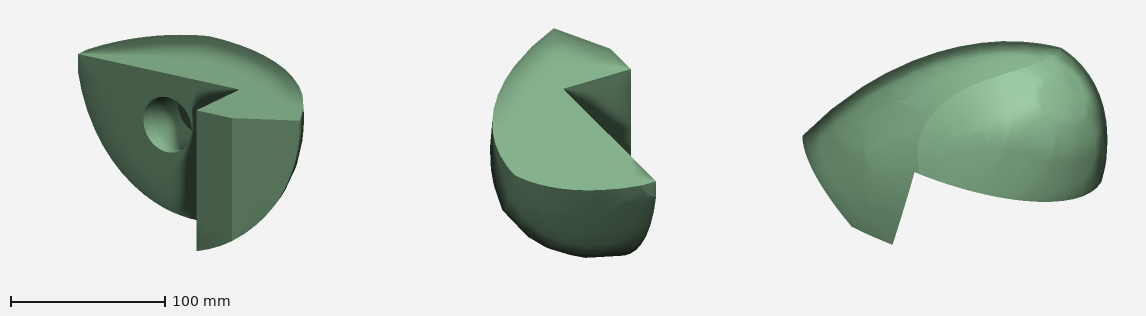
import cadquery as cq
import math

length = 193.55
depth_y = 127.5
stock_depth = 150.0

seat_y = 50.0
leg_x = 126.4
leg_corner_x = 154.1
slant_angle = 27.5

hole_diameter = 37.7
hole_x = 70.0
hole_z = -35.0
hole_depth = 40.0

left_semi_axes = (328.7, 139.0, 160.8)
left_centre = (194.2, -138.2, 102.6)
left_roll = 2.0
left_tilt = 26.2
left_azimuth = -58.7

right_semi_axes = (226.7, 160.6, 121.5)
right_centre = (66.8, -76.5, 61.9)
right_roll = 150.7
right_tilt = 31.9
right_azimuth = -88.3


def ellipsoid(semi_axes, centre, roll, tilt, azimuth):
    """Unit sphere stretched to the semi-axes, turned and moved into place."""
    along, across, upright = semi_axes
    stretch = cq.Matrix([
        [along, 0, 0, 0],
        [0, across, 0, 0],
        [0, 0, upright, 0],
    ])
    stretched = cq.Workplane("XY").sphere(1).val().transformGeometry(stretch)
    origin = (0, 0, 0)
    return (
        cq.Workplane(stretched)
        .rotate(origin, (1, 0, 0), roll)
        .rotate(origin, (0, 1, 0), -tilt)
        .rotate(origin, (0, 0, 1), azimuth)
        .translate(centre)
    )


def stepped_stock():
    """Prism below Z = 0 with the front step and the slanted end face."""
    slant_end_y = (length - leg_corner_x) * math.tan(math.radians(slant_angle))
    return (
        cq.Workplane("XY")
        .moveTo(0, seat_y)
        .lineTo(leg_x, seat_y)
        .lineTo(leg_x, 0)
        .lineTo(leg_corner_x, 0)
        .lineTo(length, slant_end_y)
        .lineTo(length, depth_y)
        .lineTo(0, depth_y)
        .close()
        .extrude(-stock_depth)
    )


def bolt_hole():
    """Cylinder running into the block from the seat face."""
    return (
        cq.Workplane("XZ", origin=(hole_x, seat_y, hole_z))
        .circle(hole_diameter / 2)
        .extrude(-hole_depth)
    )


left_round = ellipsoid(left_semi_axes, left_centre, left_roll, left_tilt, left_azimuth)
right_round = ellipsoid(right_semi_axes, right_centre, right_roll, right_tilt, right_azimuth)

rounded_block = stepped_stock().intersect(left_round).intersect(right_round)
result = rounded_block.cut(bolt_hole())